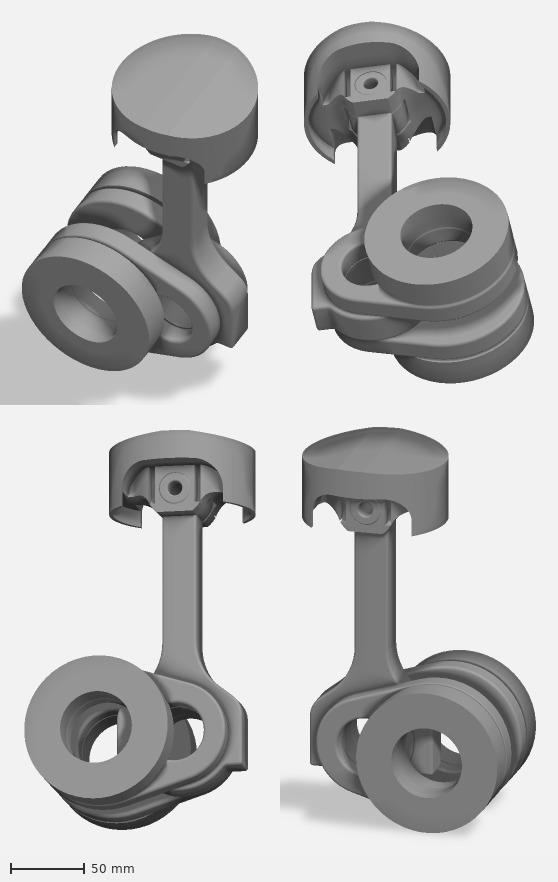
import cadquery as cq
import math

crank_throw = 50.0
rod_length = 170.0
half_width = 49.5
edge_radius = 2.0

bearing_diameter = 100.0
journal_diameter = 70.0
main_bore_diameter = 50.0
bearing_inner_y = 28.5
web_inner_y = 11.5
web_outer_y = 26.5
web_diameter = bearing_diameter
web_tip_diameter = 70.0
crank_pin_diameter = 60.0
crank_pin_bore_diameter = 40.0

shank_half_width = 12.0
rod_half_thickness = web_inner_y
small_end_diameter = 40.0
big_end_diameter = 76.2
shoulder_half_width = 43.5
shoulder_top = 21.7
shoulder_bottom = -22.0
neck_height = 46.2
neck_radius = 40.0
shoulder_radius = 17.0
foot_radius = 5.0

wrist_pin_diameter = 22.0
wrist_pin_bore_diameter = 10.0
wrist_pin_half_length = 26.0
wrist_pin_edge = 1.0

piston_radius = 50.0
skirt_inner_diameter = 94.0
piston_bottom = 157.0
crown_edge = 200.7
crown_top = 205.0
crown_flat_start = -4.3
crown_flat_end = 13.8
recess_half_width = 35.5
recess_roof = 185.6
recess_corner_radius = 18.0
core_ceiling_drop = 1.8
core_radius = 31.5
core_bar_half_y = 12.0
core_gusset_normal_x = 0.75
core_gusset_radius = 4.0
boss_radius = 20.5
boss_bottom_drop = 16.3
boss_hollow_radius = 12.8
notch_inner_x = 13.8
notch_outer_x = 18.0
notch_bottom_drop = 10.2
notch_depth = 10.2
notch_corner_radius = 8.0
rod_slot_clearance = 1.5


def cylinder_y(x, z, diameter, y_start, y_end):
    """Cylinder with its axis along Y."""
    base = cq.Workplane("XZ", origin=(x, y_start, z)).circle(diameter / 2)
    return base.extrude(y_start - y_end)


def make_tube(x, z, outer_diameter, inner_diameter, y_start, y_end):
    """Hollow cylinder with its axis along Y."""
    tube = cylinder_y(x, z, outer_diameter, y_start, y_end)
    return tube.cut(cylinder_y(x, z, inner_diameter, y_start, y_end))


def box_between(x_range, y_range, z_range):
    """Axis-aligned box given by its limits."""
    sides = [high - low for low, high in (x_range, y_range, z_range)]
    corner = (x_range[0], y_range[0], z_range[0])
    return cq.Workplane("XY", origin=corner).box(*sides, centered=False)


def prism_y(profile, half_length):
    """Extrude an XZ profile to both sides of the XZ plane."""
    return profile.extrude(half_length, both=True)


def make_web():
    """Egg-shaped crank web on the -Y side, bored for the journal and the crank pin."""
    main_r = web_diameter / 2
    tip_r = web_tip_diameter / 2
    normal_x = (main_r - tip_r) / crank_throw
    normal_z = math.sqrt(1 - normal_x**2)
    web = (
        cq.Workplane("XZ", origin=(0, -web_inner_y, 0))
        .moveTo(main_r * normal_x, main_r * normal_z)
        .lineTo(crank_throw + tip_r * normal_x, tip_r * normal_z)
        .threePointArc((crank_throw + tip_r, 0), (crank_throw + tip_r * normal_x, -tip_r * normal_z))
        .lineTo(main_r * normal_x, -main_r * normal_z)
        .threePointArc((-main_r, 0), (main_r * normal_x, main_r * normal_z))
        .close()
        .extrude(web_outer_y - web_inner_y)
    )
    web = web.cut(cylinder_y(0, 0, main_bore_diameter, -web_outer_y, -web_inner_y))
    web = web.cut(cylinder_y(crank_throw, 0, crank_pin_bore_diameter, -web_outer_y, -web_inner_y))
    return web.faces("<Y or >Y").edges().fillet(edge_radius)


def make_crankshaft():
    """Two webs with hollow journals, joined by the hollow crank pin."""
    crank_pin = make_tube(
        crank_throw, 0, crank_pin_diameter, crank_pin_bore_diameter, -web_inner_y, web_inner_y
    )
    journal = make_tube(0, 0, journal_diameter, main_bore_diameter, -half_width, -web_outer_y)
    side = make_web().union(journal)
    return side.union(crank_pin).union(side.mirror("XZ"))


def make_main_bearing(side):
    """Ring around one journal; side is -1 or +1 along Y."""
    return make_tube(
        0, 0, bearing_diameter, journal_diameter, side * bearing_inner_y, side * half_width
    )


def make_rod():
    """Connecting rod: shank, shouldered big end and round small end."""
    rod = prism_y(
        cq.Workplane("XZ", origin=(crank_throw, 0, 0)).polyline([
            (-shank_half_width, rod_length),
            (-shank_half_width, neck_height),
            (-shoulder_half_width, shoulder_top),
            (-shoulder_half_width, shoulder_bottom),
            (shoulder_half_width, shoulder_bottom),
            (shoulder_half_width, shoulder_top),
            (shank_half_width, neck_height),
            (shank_half_width, rod_length),
        ]).close(),
        rod_half_thickness,
    )
    corners = [
        (shank_half_width, neck_height, neck_radius),
        (shoulder_half_width, shoulder_top, shoulder_radius),
        (shoulder_half_width, shoulder_bottom, edge_radius),
    ]
    for x, z, radius in corners:
        for side in (-1, 1):
            corner = cq.selectors.NearestToPointSelector((crank_throw + side * x, 0, z))
            rod = rod.edges("|Y").edges(corner).fillet(radius)

    big_end = cylinder_y(crank_throw, 0, big_end_diameter, -rod_half_thickness, rod_half_thickness)
    rod = rod.union(big_end)
    foot_x = math.sqrt((big_end_diameter / 2)**2 - shoulder_bottom**2)
    for side in (-1, 1):
        foot = cq.selectors.NearestToPointSelector((crank_throw + side * foot_x, 0, shoulder_bottom))
        rod = rod.edges("|Y").edges(foot).fillet(foot_radius)

    rod = rod.union(
        cylinder_y(crank_throw, rod_length, small_end_diameter, -rod_half_thickness, rod_half_thickness)
    )
    rod = rod.cut(
        cylinder_y(crank_throw, 0, crank_pin_diameter, -rod_half_thickness, rod_half_thickness)
    )
    rod = rod.faces("<Y or >Y").edges().fillet(edge_radius)
    return rod.cut(
        cylinder_y(crank_throw, rod_length, wrist_pin_diameter, -rod_half_thickness, rod_half_thickness)
    )


def make_wrist_pin():
    """Hollow pin with rounded end edges."""
    pin = make_tube(
        crank_throw,
        rod_length,
        wrist_pin_diameter,
        wrist_pin_bore_diameter,
        -wrist_pin_half_length,
        wrist_pin_half_length,
    )
    return pin.faces("<Y or >Y").edges().fillet(wrist_pin_edge)


def make_piston_core():
    """Plan shape of the solid that carries the wrist pin, from below the boss up past the recess roof."""
    height = crown_edge - piston_bottom + boss_bottom_drop
    base = cq.Workplane("XY", origin=(crank_throw, 0, rod_length - boss_bottom_drop))
    normal_y = math.sqrt(1 - core_gusset_normal_x**2)
    tangent_x = core_radius * core_gusset_normal_x
    tangent_y = core_radius * normal_y
    foot_x = tangent_x + (tangent_y - core_bar_half_y) * normal_y / core_gusset_normal_x

    bar = base.rect(2 * piston_radius, 2 * core_bar_half_y).extrude(height)
    gussets = base.polyline([
        (-foot_x, core_bar_half_y),
        (-tangent_x, tangent_y),
        (tangent_x, tangent_y),
        (foot_x, core_bar_half_y),
        (foot_x, -core_bar_half_y),
        (tangent_x, -tangent_y),
        (-tangent_x, -tangent_y),
        (-foot_x, -core_bar_half_y),
    ]).close().extrude(height)
    core = bar.union(gussets)
    for x_side in (-1, 1):
        for y_side in (-1, 1):
            foot = cq.selectors.NearestToPointSelector(
                (crank_throw + x_side * foot_x, y_side * core_bar_half_y, rod_length)
            )
            core = core.edges("|Z").edges(foot).fillet(core_gusset_radius)
    core = core.union(base.circle(core_radius).extrude(height))
    boss_faces = base.rect(2 * piston_radius, 2 * wrist_pin_half_length).extrude(height)
    return core.intersect(boss_faces)


def make_boss():
    """Material around the wrist pin that hangs below the core's underside."""
    flat_x = math.sqrt(boss_radius**2 - boss_bottom_drop**2)
    hollow_z = -core_ceiling_drop - boss_hollow_radius
    center_distance = boss_radius + boss_hollow_radius
    hollow_x = math.sqrt(center_distance**2 - hollow_z**2)
    join_x = hollow_x * boss_radius / center_distance
    join_z = hollow_z * boss_radius / center_distance

    boss_mid_angle = (math.atan2(-boss_bottom_drop, flat_x) + math.atan2(join_z, join_x)) / 2
    boss_mid_x = boss_radius * math.cos(boss_mid_angle)
    boss_mid_z = boss_radius * math.sin(boss_mid_angle)
    hollow_mid_angle = (math.pi / 2 + math.atan2(-hollow_z, -hollow_x)) / 2
    hollow_mid_x = hollow_x + boss_hollow_radius * math.cos(hollow_mid_angle)
    hollow_mid_z = hollow_z + boss_hollow_radius * math.sin(hollow_mid_angle)

    profile = (
        cq.Workplane("XZ", origin=(crank_throw, 0, rod_length))
        .moveTo(-flat_x, -boss_bottom_drop)
        .lineTo(flat_x, -boss_bottom_drop)
        .threePointArc((boss_mid_x, boss_mid_z), (join_x, join_z))
        .threePointArc((hollow_mid_x, hollow_mid_z), (hollow_x, -core_ceiling_drop))
        .lineTo(-hollow_x, -core_ceiling_drop)
        .threePointArc((-hollow_mid_x, hollow_mid_z), (-join_x, join_z))
        .threePointArc((-boss_mid_x, boss_mid_z), (-flat_x, -boss_bottom_drop))
        .close()
    )
    return prism_y(profile, wrist_pin_half_length)


def make_piston():
    """Piston with a ridged crown, cut-away skirts and wrist pin bosses."""
    crown_profile = cq.Workplane("XZ", origin=(crank_throw, 0, 0)).polyline([
        (-piston_radius, piston_bottom),
        (-piston_radius, crown_edge),
        (crown_flat_start, crown_top),
        (crown_flat_end, crown_top),
        (piston_radius, crown_edge),
        (piston_radius, piston_bottom),
    ]).close()
    base = cq.Workplane("XY", origin=(crank_throw, 0, piston_bottom))
    piston = base.circle(piston_radius).extrude(crown_top - piston_bottom)
    piston = piston.intersect(prism_y(crown_profile, piston_radius))

    core_underside = rod_length - core_ceiling_drop
    piston = piston.cut(base.circle(skirt_inner_diameter / 2).extrude(core_underside - piston_bottom))

    core = make_piston_core()
    arch = box_between(
        (crank_throw - recess_half_width, crank_throw + recess_half_width),
        (-piston_radius, piston_radius),
        (piston_bottom, recess_roof),
    ).edges("|Y and >Z").fillet(recess_corner_radius)
    piston = piston.cut(arch.cut(core))
    piston = piston.union(make_boss().intersect(core))

    for x_side in (-1, 1):
        for y_side in (-1, 1):
            x_limits = sorted(crank_throw + x_side * x for x in (notch_inner_x, notch_outer_x))
            y_limits = sorted(
                y_side * y for y in (wrist_pin_half_length - notch_depth, wrist_pin_half_length)
            )
            notch = box_between(x_limits, y_limits, (rod_length - notch_bottom_drop, recess_roof))
            floor = ">Y" if y_side < 0 else "<Y"
            piston = piston.cut(notch.faces(floor).edges("|X").fillet(notch_corner_radius))

    slot_half_width = small_end_diameter / 2 + rod_slot_clearance
    piston = piston.cut(box_between(
        (crank_throw - slot_half_width, crank_throw + slot_half_width),
        (-rod_half_thickness, rod_half_thickness),
        (rod_length - boss_bottom_drop, rod_length + slot_half_width),
    ))
    return piston.cut(cylinder_y(
        crank_throw, rod_length, wrist_pin_diameter, -wrist_pin_half_length, wrist_pin_half_length
    ))


crankshaft = make_crankshaft()
main_bearings = [make_main_bearing(side) for side in (-1, 1)]
rod = make_rod()
wrist_pin = make_wrist_pin()
piston = make_piston()

result = cq.Compound.makeCompound([
    crankshaft.val(),
    *[bearing.val() for bearing in main_bearings],
    rod.val(),
    wrist_pin.val(),
    piston.val(),
])